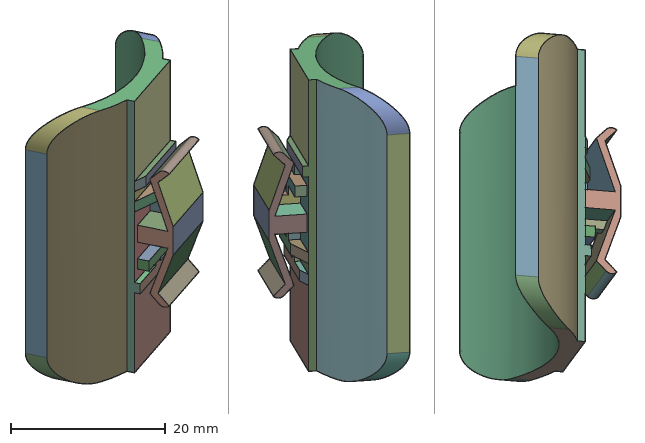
import cadquery as cq
import math

CRADLE_WIDTH = 30.0
CRADLE_HEIGHT = 40.0
CORNER_RADIUS = 5.0
INNER_RADIUS = 17.0
OUTER_RADIUS = 17.5
WALL_AT_MIDDLE = 2.5

PAD_WIDTH = 12.0

CLIP_WIDTH = 10.0
CLIP_REACH = 5.0
WEB_THICKNESS = 2.5

ARM_THICKNESS = 1.0
ARM_ANGLE = math.radians(19.3)
ARM_ROOT_Z = 2.1
ARM_BEND_Z = 8.15
HOOK_ANGLE = math.radians(45)
HOOK_LENGTH = 2.22

BAR_THICKNESS = 1.5
FAR_BAR_TOP = 8.2
FAR_BAR_HEIGHT = 0.8
NEAR_BAR_TOP = 5.2
NEAR_BAR_HEIGHT = 1.6
RAMP_INSET = 3.8
RIB_THICKNESS = 1.5
RIB_STEM_TOP = 2.5

half_width = CRADLE_WIDTH / 2
inner_axis_x = -math.sqrt(INNER_RADIUS**2 - half_width**2)
inner_apex_x = inner_axis_x + INNER_RADIUS
back_x = inner_apex_x + WALL_AT_MIDDLE
outer_axis_x = back_x - OUTER_RADIUS
outer_tip_x = outer_axis_x + math.sqrt(OUTER_RADIUS**2 - half_width**2)
clip_x = back_x + CLIP_REACH


def box(x_start, x_end, width, z_bottom, z_top):
    """Block centred on Y = 0 between the given X and Z limits."""
    block = cq.Workplane("XY").box(x_end - x_start, width, z_top - z_bottom, centered=(False, True, False))
    return block.translate((x_start, 0, z_bottom))


def make_cradle():
    """Curved shell with its four corners rounded when seen along X."""
    shell = (
        cq.Workplane("XY")
        .moveTo(0, -half_width)
        .threePointArc((inner_apex_x, 0), (0, half_width))
        .lineTo(outer_tip_x, half_width)
        .threePointArc((back_x, 0), (outer_tip_x, -half_width))
        .close()
        .extrude(CRADLE_HEIGHT / 2, both=True)
    )
    rounded_outline = (
        box(0, back_x, CRADLE_WIDTH, -CRADLE_HEIGHT / 2, CRADLE_HEIGHT / 2)
        .edges("|X")
        .fillet(CORNER_RADIUS)
    )
    return shell.intersect(rounded_outline)


def make_pad():
    """Full-height flat behind the shell, starting inside its wall."""
    pad_start_x = back_x - WALL_AT_MIDDLE / 2
    return box(pad_start_x, back_x, PAD_WIDTH, -CRADLE_HEIGHT / 2, CRADLE_HEIGHT / 2)


def make_upper_arm():
    """Bent strip leaning back toward the pad, with a round-nosed hook turned outward at its end."""
    bend_x = clip_x - (ARM_BEND_Z - ARM_ROOT_Z) * math.tan(ARM_ANGLE)
    tip_x = bend_x + HOOK_LENGTH * math.sin(HOOK_ANGLE)
    tip_z = ARM_BEND_Z + HOOK_LENGTH * math.cos(HOOK_ANGLE)

    miter = ARM_THICKNESS / math.cos((ARM_ANGLE + HOOK_ANGLE) / 2)
    miter_tilt = (HOOK_ANGLE - ARM_ANGLE) / 2
    inner_bend_x = bend_x - miter * math.cos(miter_tilt)
    inner_bend_z = ARM_BEND_Z + miter * math.sin(miter_tilt)
    inner_root_x = inner_bend_x + inner_bend_z * math.tan(ARM_ANGLE)

    nose_length = HOOK_LENGTH - ARM_THICKNESS
    nose_center_x = bend_x + nose_length * math.sin(HOOK_ANGLE)
    nose_center_z = ARM_BEND_Z + nose_length * math.cos(HOOK_ANGLE)
    nose_start = (
        nose_center_x - ARM_THICKNESS * math.cos(HOOK_ANGLE),
        nose_center_z + ARM_THICKNESS * math.sin(HOOK_ANGLE),
    )
    nose_middle_angle = math.radians(135) - HOOK_ANGLE
    nose_middle = (
        nose_center_x + ARM_THICKNESS * math.cos(nose_middle_angle),
        nose_center_z + ARM_THICKNESS * math.sin(nose_middle_angle),
    )
    return (
        cq.Workplane("XZ")
        .moveTo(clip_x, 0)
        .lineTo(clip_x, ARM_ROOT_Z)
        .lineTo(bend_x, ARM_BEND_Z)
        .lineTo(tip_x, tip_z)
        .threePointArc(nose_middle, nose_start)
        .lineTo(inner_bend_x, inner_bend_z)
        .lineTo(inner_root_x, 0)
        .close()
        .extrude(CLIP_WIDTH / 2, both=True)
    )


def make_upper_bar(top, height, far_end_y):
    """Cross bar whose -Y end is a ramp that starts at the edge of the pad."""
    pad_edge_y = -PAD_WIDTH / 2
    ramp_run = height * RAMP_INSET / NEAR_BAR_HEIGHT
    bar = (
        cq.Workplane("XY")
        .polyline([
            (back_x, pad_edge_y),
            (back_x + height, pad_edge_y + ramp_run),
            (back_x + height, far_end_y),
            (back_x, far_end_y),
        ])
        .close()
        .extrude(BAR_THICKNESS)
    )
    return bar.translate((0, 0, top - BAR_THICKNESS))


def make_rib():
    """Thin stepped rib in the middle plane; its innermost step runs into the arms."""
    inner_face_root_x = clip_x + ARM_ROOT_Z * math.tan(ARM_ANGLE) - ARM_THICKNESS / math.cos(ARM_ANGLE)
    stem_end_x = inner_face_root_x - RIB_STEM_TOP * math.tan(ARM_ANGLE)
    stem_at_web_x = inner_face_root_x - WEB_THICKNESS / 2 * math.tan(ARM_ANGLE)
    stem = (
        cq.Workplane("XZ")
        .polyline([
            (back_x, -RIB_STEM_TOP),
            (stem_end_x, -RIB_STEM_TOP),
            (stem_at_web_x, -WEB_THICKNESS / 2),
            (stem_at_web_x, WEB_THICKNESS / 2),
            (stem_end_x, RIB_STEM_TOP),
            (back_x, RIB_STEM_TOP),
        ])
        .close()
        .extrude(RIB_THICKNESS / 2, both=True)
    )
    near_step = box(back_x, back_x + NEAR_BAR_HEIGHT, RIB_THICKNESS, -NEAR_BAR_TOP, NEAR_BAR_TOP)
    far_step = box(back_x, back_x + FAR_BAR_HEIGHT, RIB_THICKNESS, -FAR_BAR_TOP, FAR_BAR_TOP)
    return stem.union(near_step).union(far_step)


def make_clip():
    """Web, rib, and the arms and bars repeated by a half turn about X."""
    web = box(back_x, clip_x, CLIP_WIDTH, -WEB_THICKNESS / 2, WEB_THICKNESS / 2)
    upper_half = (
        make_upper_arm()
        .union(make_upper_bar(FAR_BAR_TOP, FAR_BAR_HEIGHT, PAD_WIDTH / 2))
        .union(make_upper_bar(NEAR_BAR_TOP, NEAR_BAR_HEIGHT, CLIP_WIDTH / 2))
    )
    lower_half = upper_half.rotate((0, 0, 0), (1, 0, 0), 180)
    return web.union(make_rib()).union(upper_half).union(lower_half)


result = make_cradle().union(make_pad()).union(make_clip())